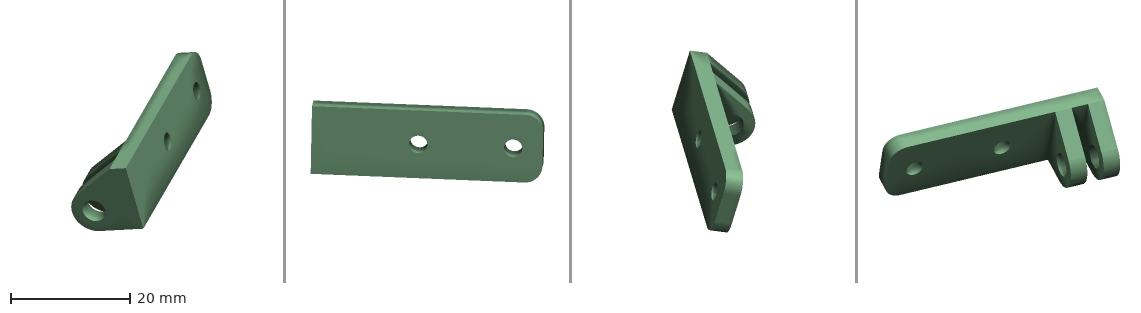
import cadquery as cq
import math

length = 39.0
width = 12.0
thickness = 3.0
corner_radius = 3.0
tilt_deg = 15.0

screw_diameter = 3.1
screw_end_distance = 5.0
screw_spacing = 16.0

lug_thickness = 3.0
lug_gap = 3.0
lug_radius = 4.0
pivot_diameter = 4.1
pivot_distance = 7.95

tilt = math.radians(tilt_deg)
section = cq.Plane(
    origin=(0, 0, 0),
    xDir=(-math.cos(tilt), 0, -math.sin(tilt)),
    normal=(0, 1, 0),
)


def make_plate():
    """Tilted bar with the two corners of its far end rounded."""
    plate = cq.Workplane(section).rect(thickness, width, centered=False).extrude(length)
    across_thickness = cq.selectors.ParallelDirSelector(section.xDir)
    return plate.faces(">Y").edges(across_thickness).fillet(corner_radius)


def make_lug(start):
    """Hinge lug: a round nose tangent to the lower edge and to the upper flank."""
    pivot_height = lug_radius
    run = thickness - pivot_distance
    rise = width - pivot_height

    corner_angle = math.atan2(rise, run)
    outer_angle = corner_angle - math.acos(lug_radius / math.hypot(run, rise))
    middle_angle = (outer_angle - math.pi / 2) / 2

    def on_nose(angle):
        return (
            pivot_distance + lug_radius * math.cos(angle),
            pivot_height + lug_radius * math.sin(angle),
        )

    return (
        cq.Workplane(section)
        .workplane(offset=start)
        .moveTo(0, 0)
        .lineTo(pivot_distance, 0)
        .threePointArc(on_nose(middle_angle), on_nose(outer_angle))
        .lineTo(thickness, width)
        .lineTo(0, width)
        .close()
        .moveTo(pivot_distance, pivot_height)
        .circle(pivot_diameter / 2)
        .extrude(lug_thickness)
    )


def make_screw_hole(y):
    """Cylinder through the plate thickness, midway across its width."""
    start = section.toWorldCoords((0, width / 2, y))
    return cq.Workplane(
        cq.Solid.makeCylinder(screw_diameter / 2, thickness, start, section.xDir)
    )


result = make_plate()
for lug_index in range(2):
    result = result.union(make_lug(lug_index * (lug_thickness + lug_gap)))
for hole_index in range(2):
    hole_y = length - screw_end_distance - hole_index * screw_spacing
    result = result.cut(make_screw_hole(hole_y))